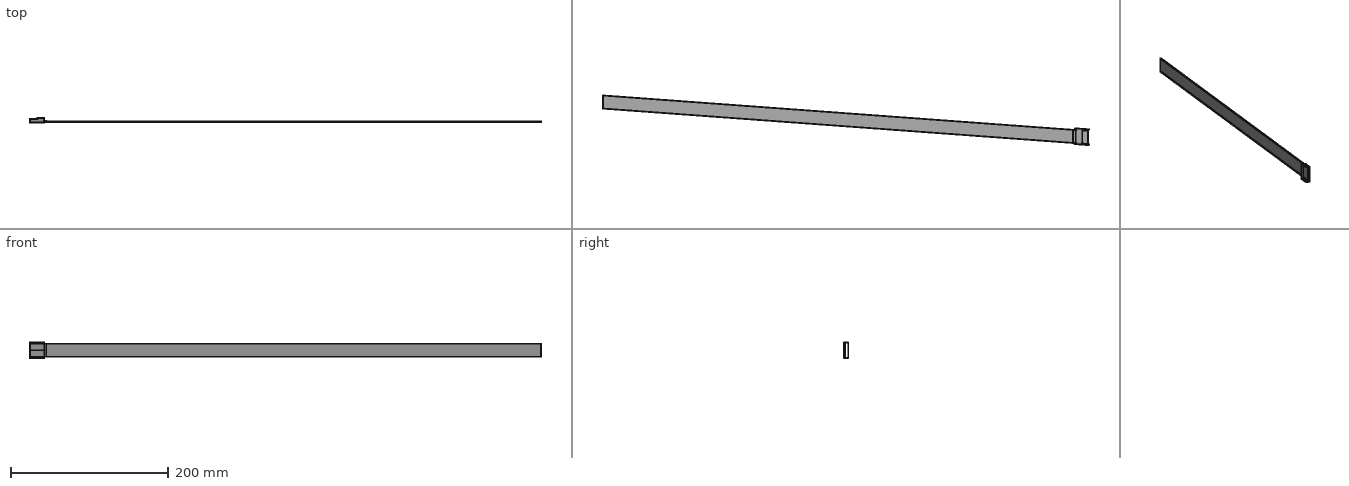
import cadquery as cq

strap_end = 650.71
strap_width = 17.1
strap_thickness = 1.31
head_start = 0.45
head_end = 20.74
head_front_step = 0.16
head_back_step = 0.56

buckle_length = 17.98
buckle_depth = 6.0
buckle_height = 19.98
sheet = 0.31
bend_radius = 1.18
seam_gap = 0.5

side_wall_depth = 4.83
bridge_start = 9.52

head_front = sheet
strap_front = head_front + head_front_step
strap_back = strap_front + strap_thickness
head_back = strap_back + head_back_step


def block(start_x, end_x, front_y, back_y, height):
    """Box between the given X and Y limits, centred on Z = 0."""
    return (
        cq.Workplane("XY")
        .box(end_x - start_x, back_y - front_y, height, centered=(False, False, True))
        .translate((start_x, front_y, 0))
    )


def make_sleeve():
    """Sheet tube along X with rounded bends."""
    outer = block(0, buckle_length, 0, buckle_depth, buckle_height)
    outer = outer.edges("|X").fillet(bend_radius)
    inner = block(0, buckle_length, sheet, buckle_depth - sheet, buckle_height - 2 * sheet)
    inner = inner.edges("|X").fillet(bend_radius - sheet)
    return outer.cut(inner)


def make_buckle():
    """Sleeve with a seam between its front flaps and an opening ahead of the bridge."""
    seam = block(0, buckle_length, 0, sheet, seam_gap)
    back_opening = block(0, bridge_start, side_wall_depth, buckle_depth, buckle_height)
    return make_sleeve().cut(seam).cut(back_opening)


def make_strap():
    """Band joined to its thicker head."""
    band = block(head_start, strap_end, strap_front, strap_back, strap_width)
    head = block(head_start, head_end, head_front, head_back, strap_width)
    return band.union(head)


buckle = make_buckle()
strap = make_strap()
result = cq.Compound.makeCompound([buckle.val(), strap.val()])